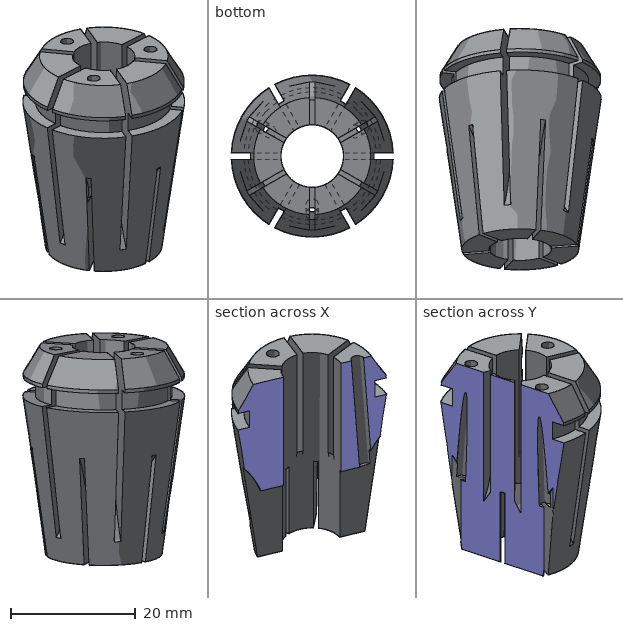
import cadquery as cq
import math

LENGTH = 34.0
BORE_RADIUS = 5.0
BOTTOM_RADIUS = 9.4
BODY_TOP_RADIUS = 13.005
GROOVE_RADIUS = 10.98
RIM_RADIUS = 12.92
FACE_RADIUS = 10.3
BODY_TOP_Z = 25.87
RIM_BOTTOM_Z = 28.97
RIM_TOP_Z = 29.55

SLOTS_PER_END = 6
SLOT_PITCH = 360 / SLOTS_PER_END
TOP_SLOT_WIDTH = 1.05
TOP_SLOT_BORE_Z = 15.05
TOP_SLOT_OUTER_Z = 3.98
TOP_SAW_RADIUS = 22.45
BOTTOM_SLOT_WIDTH = 0.8
BOTTOM_SLOT_ARC_RADIUS = 8.98
BOTTOM_SLOT_BORE_Z = 12.92
BOTTOM_SLOT_OUTER_Z = 18.0
BOTTOM_SAW_RADIUS = 15.3
CLEARANCE = 1.7

HOLE_COUNT = 3
HOLE_FIRST_ANGLE = 90
HOLE_RADIUS = 1.02
HOLE_CENTER_RADIUS = 7.9
HOLE_TILT = 3.9
HOLE_DEPTH = 21.25


def make_blank():
    """Revolve the collet wall about Z."""
    wall = [
        (BORE_RADIUS, 0),
        (BOTTOM_RADIUS, 0),
        (BODY_TOP_RADIUS, BODY_TOP_Z),
        (GROOVE_RADIUS, BODY_TOP_Z),
        (GROOVE_RADIUS, RIM_BOTTOM_Z),
        (RIM_RADIUS, RIM_BOTTOM_Z),
        (RIM_RADIUS, RIM_TOP_Z),
        (FACE_RADIUS, LENGTH),
        (BORE_RADIUS, LENGTH),
    ]
    return cq.Workplane("XZ").polyline(wall).close().revolve(360, (0, 0), (0, 1))


def body_radius(z):
    """Outside radius of the tapered body at height z."""
    return BOTTOM_RADIUS + (BODY_TOP_RADIUS - BOTTOM_RADIUS) * z / BODY_TOP_Z


def make_slot(width, saw_radius, inner_r, inner_z, outer_z, open_z):
    """Slot along +X, open at height open_z; its closed end is flat to inner_r, then a saw arc."""
    outer_r = body_radius(outer_z)
    run = outer_r - inner_r
    rise = outer_z - inner_z
    chord = math.hypot(run, rise)
    sagitta = saw_radius - math.sqrt(saw_radius**2 - (chord / 2) ** 2)
    toward_wall = math.copysign(1, inner_z - open_z)
    middle = (
        (inner_r + outer_r) / 2 - toward_wall * sagitta * rise / chord,
        (inner_z + outer_z) / 2 + toward_wall * sagitta * run / chord,
    )
    far_r = BODY_TOP_RADIUS + CLEARANCE
    near_r = BORE_RADIUS - CLEARANCE
    return (
        cq.Workplane("XZ")
        .moveTo(near_r, open_z)
        .lineTo(near_r, inner_z)
        .lineTo(inner_r, inner_z)
        .threePointArc(middle, (outer_r, outer_z))
        .lineTo(far_r, outer_z)
        .lineTo(far_r, open_z)
        .close()
        .extrude(width / 2, both=True)
    )


def make_hole():
    """Hole on the +X side that leans outward as it goes down."""
    tilt = math.radians(HOLE_TILT)
    down = cq.Vector(math.sin(tilt), 0, -math.cos(tilt))
    start = cq.Vector(HOLE_CENTER_RADIUS, 0, LENGTH) - down * CLEARANCE
    return cq.Workplane(cq.Solid.makeCylinder(HOLE_RADIUS, HOLE_DEPTH + CLEARANCE, start, down))


def cut_around(body, cutter, count, first_angle):
    """Cut equally spaced copies of a cutter about Z."""
    for i in range(count):
        angle = first_angle + i * 360 / count
        body = body.cut(cutter.rotate((0, 0, 0), (0, 0, 1), angle))
    return body


top_slot = make_slot(
    TOP_SLOT_WIDTH, TOP_SAW_RADIUS, BORE_RADIUS, TOP_SLOT_BORE_Z, TOP_SLOT_OUTER_Z, LENGTH
)
bottom_slot = make_slot(
    BOTTOM_SLOT_WIDTH,
    BOTTOM_SAW_RADIUS,
    BOTTOM_SLOT_ARC_RADIUS,
    BOTTOM_SLOT_BORE_Z,
    BOTTOM_SLOT_OUTER_Z,
    0,
)

collet = make_blank()
collet = cut_around(collet, top_slot, SLOTS_PER_END, 0)
collet = cut_around(collet, bottom_slot, SLOTS_PER_END, SLOT_PITCH / 2)
collet = cut_around(collet, make_hole(), HOLE_COUNT, HOLE_FIRST_ANGLE)
result = collet